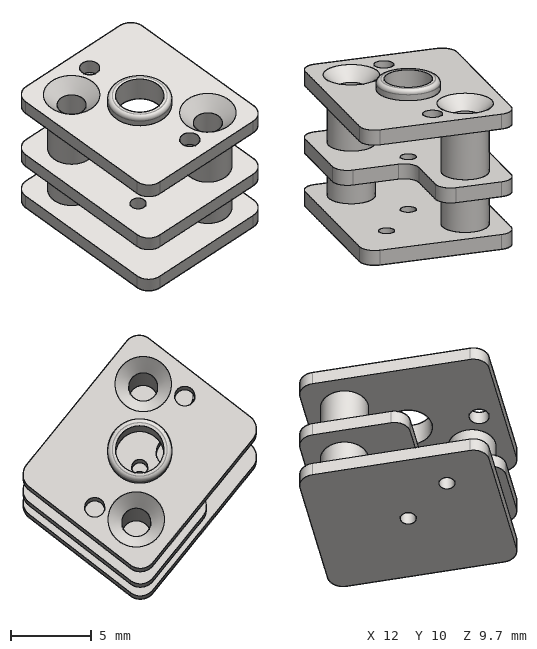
import cadquery as cq

plate_width = 12.0
plate_depth = 10.0
plate_thickness = 1.0
corner_radius = 1.0
middle_plate_top = 4.5
top_plate_top = 9.0
step_x = -1.0

pillar_diameter = 3.0
pillar_x = 3.5
pillar_y = 2.5
pillar_places = [(-pillar_x, -pillar_y), (pillar_x, pillar_y)]

screw_diameter = 1.8
countersink_diameter = 3.5
countersink_angle = 90.0

total_height = 9.7
collar_diameter = 4.0
collar_bore = 3.0
collar_rounding = 0.3

side_hole_diameter = 1.25
side_hole_x = 4.5
small_hole_diameter = 1.0
center = (0, 0)
middle_hole = (3.0, -3.0)
bottom_hole = (-3.0, 2.5)


def cylinder(diameter, place, bottom, top):
    """Upright cylinder between two heights."""
    return cq.Workplane("XY", origin=(*place, bottom)).circle(diameter / 2).extrude(top - bottom)


def full_plate(bottom):
    """Rectangular plate with rounded vertical corners."""
    plate = cq.Workplane("XY", origin=(0, 0, bottom)).rect(plate_width, plate_depth).extrude(plate_thickness)
    return plate.edges("|Z").fillet(corner_radius)


def stepped_plate(bottom):
    """L-shaped plate: full width in front, cut back on the left behind the centre line."""
    outline = [
        (-plate_width / 2, -plate_depth / 2),
        (plate_width / 2, -plate_depth / 2),
        (plate_width / 2, plate_depth / 2),
        (step_x, plate_depth / 2),
        (step_x, 0),
        (-plate_width / 2, 0),
    ]
    plate = cq.Workplane("XY", origin=(0, 0, bottom)).polyline(outline).close().extrude(plate_thickness)
    return plate.edges("|Z").fillet(corner_radius)


top_plate_bottom = top_plate_top - plate_thickness
middle_plate_bottom = middle_plate_top - plate_thickness

bottom_plate = full_plate(0)
for place in (center, bottom_hole):
    bottom_plate = bottom_plate.cut(cylinder(small_hole_diameter, place, 0, plate_thickness))

middle_plate = stepped_plate(middle_plate_bottom)
for place in (center, middle_hole):
    hole = cylinder(small_hole_diameter, place, middle_plate_bottom, middle_plate_top)
    middle_plate = middle_plate.cut(hole)

collar = cylinder(collar_diameter, center, top_plate_top, total_height)
collar = collar.faces(">Z").edges().fillet(collar_rounding)
top_plate = full_plate(top_plate_bottom).union(collar)
top_plate = top_plate.cut(cylinder(collar_bore, center, top_plate_bottom, total_height))
for x in (-side_hole_x, side_hole_x):
    top_plate = top_plate.cut(cylinder(side_hole_diameter, (x, 0), top_plate_bottom, top_plate_top))

result = bottom_plate.union(middle_plate).union(top_plate)
for place in pillar_places:
    result = result.union(cylinder(pillar_diameter, place, plate_thickness, middle_plate_bottom))
    result = result.union(cylinder(pillar_diameter, place, middle_plate_top, top_plate_bottom))

result = (
    cq.Workplane("XY", origin=(0, 0, top_plate_top))
    .add(result)
    .pushPoints(pillar_places)
    .cskHole(screw_diameter, countersink_diameter, countersink_angle, top_plate_top - middle_plate_top)
)